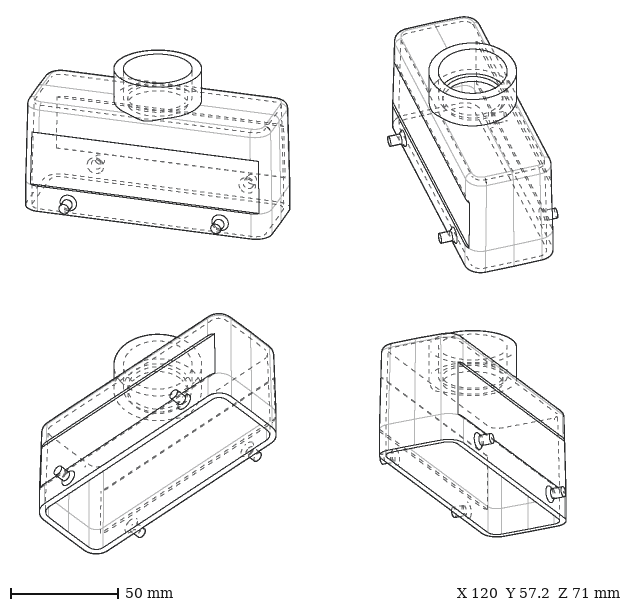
import cadquery as cq
import math

length = 120.0
width = 43.0
body_height = 55.0
total_height = 71.0
pin_span = 57.2

skirt_height = 13.0
corner_radius = 7.75
top_length = 118.2
top_width = 41.5
top_round = 3.0
crown_angle = 0.5
crown_slope = math.tan(math.radians(crown_angle))

wall = 3.0
ceiling_height = 53.0

collar_diameter = 41.0
bore_diameter = 32.0
bore_floor = 56.0
entry_diameter = 28.0

panel_depth = 0.9
panel_bottom = 13.3
panel_top = 39.8
panel_lip_rise = 0.5

pin_diameter = 4.8
pin_x = 37.0
pin_z = 6.4
pin_root_diameter = 8.0
pin_root_height = (pin_root_diameter - pin_diameter) / 2
pin_embed = 1.0


def crowned_outline(x_size, y_size, radius):
    """Rounded rectangle whose two ends come to a very blunt point on the X axis."""
    tip_x = x_size / 2
    side_y = y_size / 2
    corner_x = tip_x - side_y * crown_slope
    points = [
        (tip_x, 0),
        (corner_x, side_y),
        (-corner_x, side_y),
        (-tip_x, 0),
        (-corner_x, -side_y),
        (corner_x, -side_y),
        (tip_x, 0),
    ]
    return cq.Sketch().polygon(points).vertices(">Y or <Y").fillet(radius)


def walled_block(inset, top):
    """Straight skirt below a drafted hood, all set in from the outer walls by the inset.

    The corner radius stays the same over the height.
    """
    radius = corner_radius - inset
    rise = (top - skirt_height) / (body_height - skirt_height)
    base_x = length - 2 * inset
    base_y = width - 2 * inset
    top_x = base_x - rise * (length - top_length)
    top_y = base_y - rise * (width - top_width)
    base = crowned_outline(base_x, base_y, radius)
    skirt = cq.Workplane("XY").placeSketch(base).extrude(skirt_height)
    hood = cq.Workplane("XY").placeSketch(
        base.moved(cq.Location(cq.Vector(0, 0, skirt_height))),
        crowned_outline(top_x, top_y, radius).moved(cq.Location(cq.Vector(0, 0, top))),
    ).loft(ruled=True)
    return skirt.union(hood)


def cylinder(diameter, bottom, top):
    return cq.Workplane("XY").workplane(offset=bottom).circle(diameter / 2).extrude(top - bottom)


def make_shell():
    """Outer form with a shallow gabled roof and a rounded top edge."""
    side_y = width / 2
    eaves_height = body_height - side_y * crown_slope
    gable = [
        (-side_y, 0),
        (-side_y, eaves_height),
        (0, body_height),
        (side_y, eaves_height),
        (side_y, 0),
    ]
    gable_prism = cq.Workplane("YZ").polyline(gable).close().extrude(length / 2, both=True)
    shell = walled_block(0, body_height).intersect(gable_prism)

    def is_roof_rim(edge):
        """True for the edges around the roof, but not for the ridge centred on the Z axis."""
        center = edge.Center()
        on_ridge = math.hypot(center.x, center.y) < width / 4
        return center.z > eaves_height - top_round / 2 and not on_ridge

    return shell.edges().filter(is_roof_rim).fillet(top_round)


def make_panel_cut():
    """Slab on the -Y side: floor parallel to the drafted wall, both long edges sloping outwards."""
    wall_slope = (width - top_width) / 2 / (body_height - skirt_height)
    outer = -width / 2
    floor_bottom = outer + panel_depth + wall_slope * (panel_bottom - skirt_height)
    floor_top = outer + panel_depth + wall_slope * (panel_top - skirt_height)
    lip_outer_top = panel_top + panel_lip_rise * (floor_top - outer) / panel_depth
    profile = [
        (floor_bottom, panel_bottom),
        (floor_top, panel_top),
        (outer, lip_outer_top),
        (outer, skirt_height),
    ]
    return cq.Workplane("YZ").polyline(profile).close().extrude(length / 2, both=True)


def make_pin(x):
    """Pin on the +Y side with a conical root."""
    wall_y = width / 2
    tip_y = pin_span / 2
    root_radius = pin_root_diameter / 2
    pin_radius = pin_diameter / 2
    profile = [
        (0, wall_y - pin_embed),
        (root_radius, wall_y - pin_embed),
        (root_radius, wall_y),
        (pin_radius, wall_y + pin_root_height),
        (pin_radius, tip_y),
        (0, tip_y),
    ]
    pin = cq.Workplane("XY").polyline(profile).close().revolve(360, (0, 0, 0), (0, 1, 0))
    return pin.translate((x, 0, pin_z))


def on_both_sides(feature):
    return feature.union(feature.mirror("XZ"))


body = make_shell()
body = body.cut(on_both_sides(make_panel_cut()))
body = body.union(cylinder(collar_diameter, ceiling_height, total_height))
body = body.cut(walled_block(wall, ceiling_height))
body = body.cut(cylinder(bore_diameter, bore_floor, total_height))
body = body.cut(cylinder(entry_diameter, 0, bore_floor))
for x in (-pin_x, pin_x):
    body = body.union(on_both_sides(make_pin(x)))

result = body